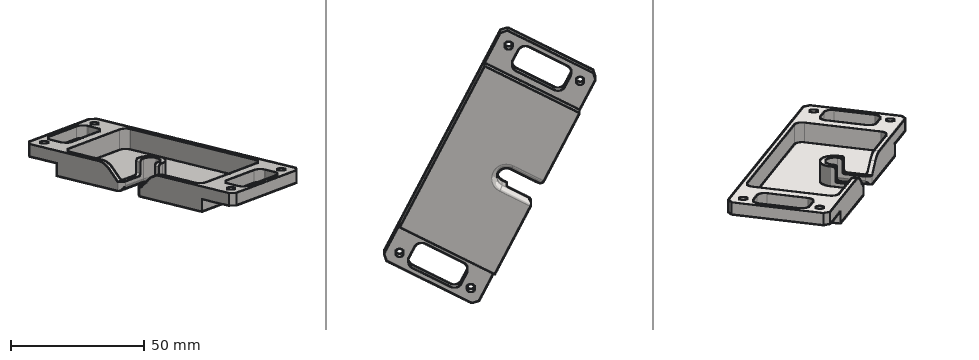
import cadquery as cq
import math

length, width, height = 100.0, 40.0, 10.0
flange_thickness = 5.0
flange_chamfer = 2.0
body_length = 70.0
wall = 2.0
floor_thickness = 2.0
pocket_radius = 3.0

window_length, window_width = 10.5, 22.0
window_radius = 3.0
window_edge_margin = 2.0
hole_diameter = 3.1
hole_inset = 5.0

slot_width = 7.0
slot_center_y = -7.0
slot_round = 2.0
collar_radius = slot_width / 2 + wall
collar_join_radius = 1.0

low_wall_height = 3.7
step_y = -9.0
step_round = 1.0
slope_angle = 45.0
slope_round = 7.0

front_y = -width / 2
overshoot = 1.0


def block(x_size, y_size, z_bottom, z_top):
    """Box centred on the Z axis between two heights."""
    return cq.Workplane("XY").workplane(offset=z_bottom).rect(x_size, y_size).extrude(z_top - z_bottom)


def round_ended_strip(radius, y_start, z_bottom, z_top):
    """Strip along Y that ends in a half circle around the slot centre."""
    return (
        cq.Workplane("XY").workplane(offset=z_bottom)
        .moveTo(-radius, y_start)
        .lineTo(-radius, slot_center_y)
        .threePointArc((0, slot_center_y + radius), (radius, slot_center_y))
        .lineTo(radius, y_start)
        .close()
        .extrude(z_top - z_bottom)
    )


def make_shell():
    flange = block(length, width, height - flange_thickness, height).edges("|Z").chamfer(flange_chamfer)
    return flange.union(block(body_length, width, 0, height))


def make_pocket():
    """Tray cavity, leaving the collar standing on the floor."""
    pocket = block(body_length - 2 * wall, width - 2 * wall, floor_thickness, height)
    pocket = pocket.edges("|Z").fillet(pocket_radius)
    pocket = pocket.cut(round_ended_strip(collar_radius, front_y, 0, height))
    join_y = front_y + wall
    for side in (-1, 1):
        corner = cq.selectors.NearestToPointSelector(
            (side * collar_radius, join_y, (floor_thickness + height) / 2)
        )
        pocket = pocket.edges("|Z").edges(corner).fillet(collar_join_radius)
    return pocket


def make_wall_notch():
    """Sloping notch through the front wall, rounded where it meets the rim."""
    slope_run = (height - low_wall_height) / math.tan(math.radians(slope_angle))
    rim_x = collar_radius + slope_run
    angle = math.radians(slope_angle)
    tangent = slope_round * math.tan(angle / 2)
    arc_start = (rim_x - tangent * math.cos(angle), height - tangent * math.sin(angle))
    arc_end = (rim_x + tangent, height)
    arc_middle = (
        arc_end[0] - slope_round * math.sin(angle / 2),
        height - slope_round * (1 - math.cos(angle / 2)),
    )
    depth = wall + collar_join_radius
    return (
        cq.Workplane("XZ", origin=(0, front_y + depth, 0))
        .moveTo(-collar_radius, low_wall_height)
        .lineTo(collar_radius, low_wall_height)
        .lineTo(*arc_start)
        .threePointArc(arc_middle, arc_end)
        .lineTo(-arc_end[0], height)
        .threePointArc((-arc_middle[0], arc_middle[1]), (-arc_start[0], arc_start[1]))
        .close()
        .extrude(depth)
    )


def make_collar_step():
    """Cut that lowers the collar, with a rounded foot and a rounded top edge."""
    diagonal = step_round * math.sqrt(0.5)
    foot_z = low_wall_height + step_round
    crown_z = height - step_round
    crown_y = step_y + step_round
    return (
        cq.Workplane("YZ", origin=(-collar_radius, 0, 0))
        .moveTo(front_y, low_wall_height)
        .lineTo(step_y - step_round, low_wall_height)
        .threePointArc((step_y - step_round + diagonal, foot_z - diagonal), (step_y, foot_z))
        .lineTo(step_y, crown_z)
        .threePointArc((crown_y - diagonal, crown_z + diagonal), (crown_y, height))
        .lineTo(front_y, height)
        .close()
        .extrude(2 * collar_radius)
    )


def round_slot_bottom(part):
    """Round the bottom edge along the whole slot."""
    slot_bottom = cq.selectors.BoxSelector(
        (-collar_radius, front_y + overshoot, -overshoot), (collar_radius, 0, overshoot)
    )
    return part.faces("<Z").edges(slot_bottom).fillet(slot_round)


def make_mouth_flare():
    """Cut that rounds both upright edges at the open end of the slot."""
    half_slot = slot_width / 2
    flare_x = half_slot + slot_round
    flare_y = front_y + slot_round
    diagonal = slot_round * math.sqrt(0.5)
    return (
        cq.Workplane("XY")
        .moveTo(-flare_x, front_y)
        .threePointArc((-flare_x + diagonal, flare_y - diagonal), (-half_slot, flare_y))
        .lineTo(half_slot, flare_y)
        .threePointArc((flare_x - diagonal, flare_y - diagonal), (flare_x, front_y))
        .close()
        .extrude(height)
    )


def cut_flange_openings(part):
    window_x = length / 2 - window_edge_margin - window_length / 2
    for side in (-1, 1):
        window = block(window_length, window_width, 0, height).edges("|Z").fillet(window_radius)
        part = part.cut(window.translate((side * window_x, 0, 0)))
    holes = (
        cq.Workplane("XY")
        .rect(length - 2 * hole_inset, width - 2 * hole_inset, forConstruction=True)
        .vertices()
        .circle(hole_diameter / 2)
        .extrude(height)
    )
    return part.cut(holes)


result = make_shell().cut(make_pocket()).cut(make_wall_notch()).cut(make_collar_step())
result = result.cut(round_ended_strip(slot_width / 2, front_y - overshoot, -overshoot, height + overshoot))
result = round_slot_bottom(result).cut(make_mouth_flare())
result = cut_flange_openings(result)